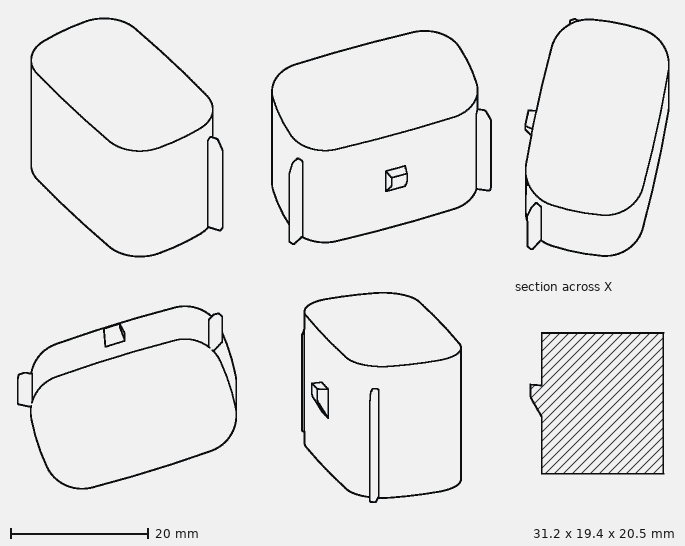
import cadquery as cq
import math

BODY_LENGTH = 29.3
BODY_WIDTH = 17.8
BODY_HEIGHT = 20.5
LONG_WALL_BULGE_RADIUS = 200.0
SHORT_WALL_BULGE_RADIUS = 31.0
CORNER_RADIUS = 5.65

FIN_ANGLE = 30.0
FIN_THICKNESS = 1.0
FIN_REACH = 7.67
FIN_HEIGHT = 17.0
FIN_LEAD_IN_WIDTH = 0.85
FIN_LEAD_IN_HEIGHT = 2.0
FIN_PROFILE_ROUND = 0.5
FIN_EDGE_ROUND = 0.25

LATCH_PROJECTION = 1.59
LATCH_BASE_WIDTH = 3.0
LATCH_TIP_WIDTH = 2.4
LATCH_TOP = 13.0
LATCH_TOP_DROP = 0.13
LATCH_TIP_HEIGHT = 1.87
LATCH_RAMP_HEIGHT = 2.78
LATCH_TIP_ROUND = 1.0
LATCH_EMBED = 1.0

half_length = BODY_LENGTH / 2
half_width = BODY_WIDTH / 2


def corner_center():
    """Centre of the corner arc tangent inside both bowed walls (+X, +Y corner)."""
    long_wall_center_y = half_width - LONG_WALL_BULGE_RADIUS
    short_wall_center_x = half_length - SHORT_WALL_BULGE_RADIUS
    long_reach = LONG_WALL_BULGE_RADIUS - CORNER_RADIUS
    short_reach = SHORT_WALL_BULGE_RADIUS - CORNER_RADIUS
    span = math.hypot(short_wall_center_x, long_wall_center_y)
    along = (long_reach**2 - short_reach**2 + span**2) / (2 * span)
    across = math.sqrt(long_reach**2 - along**2)
    unit_x = short_wall_center_x / span
    unit_y = -long_wall_center_y / span
    return (
        along * unit_x + across * unit_y,
        long_wall_center_y + along * unit_y - across * unit_x,
    )


def make_body():
    long_cylinder_offset = half_width - LONG_WALL_BULGE_RADIUS
    short_cylinder_offset = half_length - SHORT_WALL_BULGE_RADIUS
    body = cq.Workplane("XY").box(
        BODY_LENGTH, BODY_WIDTH, BODY_HEIGHT, centered=(True, True, False)
    )
    for side in (1, -1):
        long_wall = (
            cq.Workplane("XY")
            .center(0, side * long_cylinder_offset)
            .circle(LONG_WALL_BULGE_RADIUS)
            .extrude(BODY_HEIGHT)
        )
        short_wall = (
            cq.Workplane("XY")
            .center(side * short_cylinder_offset, 0)
            .circle(SHORT_WALL_BULGE_RADIUS)
            .extrude(BODY_HEIGHT)
        )
        body = body.intersect(long_wall).intersect(short_wall)
    return body.edges("|Z").fillet(CORNER_RADIUS)


def make_fin():
    """Fin of the +X rear corner, pointing outward from the corner centre."""
    lead_in_start = FIN_REACH - FIN_LEAD_IN_WIDTH
    fin = (
        cq.Workplane("XZ")
        .moveTo(0, 0)
        .lineTo(FIN_REACH, 0)
        .lineTo(FIN_REACH, FIN_HEIGHT - FIN_LEAD_IN_HEIGHT)
        .lineTo(lead_in_start, FIN_HEIGHT)
        .lineTo(0, FIN_HEIGHT)
        .close()
        .extrude(FIN_THICKNESS / 2, both=True)
    )
    lead_in_corners = (
        (FIN_REACH, 0, FIN_HEIGHT - FIN_LEAD_IN_HEIGHT),
        (lead_in_start, 0, FIN_HEIGHT),
    )
    for corner in lead_in_corners:
        fin = fin.edges(cq.selectors.NearestToPointSelector(corner)).fillet(FIN_PROFILE_ROUND)
    lower_corner = cq.selectors.NearestToPointSelector((FIN_REACH, 0, 0))
    fin = fin.edges(lower_corner).fillet(FIN_EDGE_ROUND)
    fin = fin.faces("<Y or >Y").edges("not <X").fillet(FIN_EDGE_ROUND)
    center_x, center_y = corner_center()
    return fin.rotate((0, 0, 0), (0, 0, 1), FIN_ANGLE).translate((center_x, center_y, 0))


def make_latch():
    tip_y = half_width + LATCH_PROJECTION
    inner_y = half_width - LATCH_EMBED
    side_profile = (
        cq.Workplane("YZ")
        .moveTo(inner_y, LATCH_TOP - LATCH_TOP_DROP)
        .lineTo(half_width, LATCH_TOP - LATCH_TOP_DROP)
        .lineTo(tip_y, LATCH_TOP)
        .lineTo(tip_y, LATCH_TOP - LATCH_TIP_HEIGHT)
        .lineTo(half_width, LATCH_TOP - LATCH_TIP_HEIGHT - LATCH_RAMP_HEIGHT)
        .lineTo(inner_y, LATCH_TOP - LATCH_TIP_HEIGHT - LATCH_RAMP_HEIGHT)
        .close()
        .extrude(LATCH_BASE_WIDTH / 2, both=True)
    )
    tip_corner = cq.selectors.NearestToPointSelector((0, tip_y, LATCH_TOP - LATCH_TIP_HEIGHT))
    side_profile = side_profile.edges(tip_corner).fillet(LATCH_TIP_ROUND)
    plan = (
        cq.Workplane("XY")
        .moveTo(-LATCH_BASE_WIDTH / 2, inner_y)
        .lineTo(LATCH_BASE_WIDTH / 2, inner_y)
        .lineTo(LATCH_BASE_WIDTH / 2, half_width)
        .lineTo(LATCH_TIP_WIDTH / 2, tip_y)
        .lineTo(-LATCH_TIP_WIDTH / 2, tip_y)
        .lineTo(-LATCH_BASE_WIDTH / 2, half_width)
        .close()
        .extrude(LATCH_TOP)
    )
    return side_profile.intersect(plan)


fin = make_fin()
result = make_body().union(fin).union(fin.mirror("YZ")).union(make_latch())